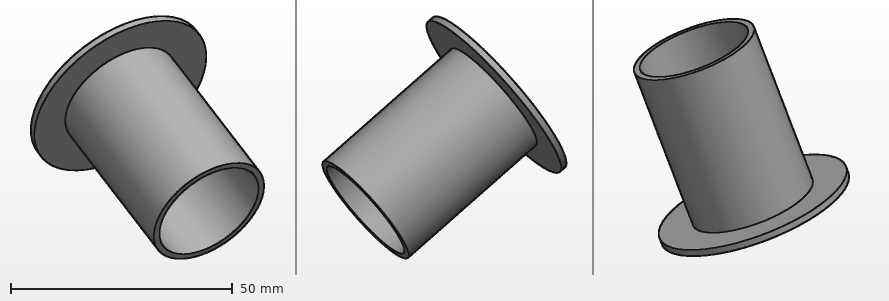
import cadquery as cq

flange_diameter = 45.1
tube_diameter = 28.9
bore_diameter = 26.0
total_length = 40.8
flange_thickness = 1.62


def disc(diameter, length):
    """Cylinder on the X axis, starting at the flange face (X = 0)."""
    return cq.Workplane("YZ").circle(diameter / 2).extrude(length)


flange = disc(flange_diameter, flange_thickness)
tube = disc(tube_diameter, total_length)
bore = disc(bore_diameter, total_length)

result = flange.union(tube).cut(bore)